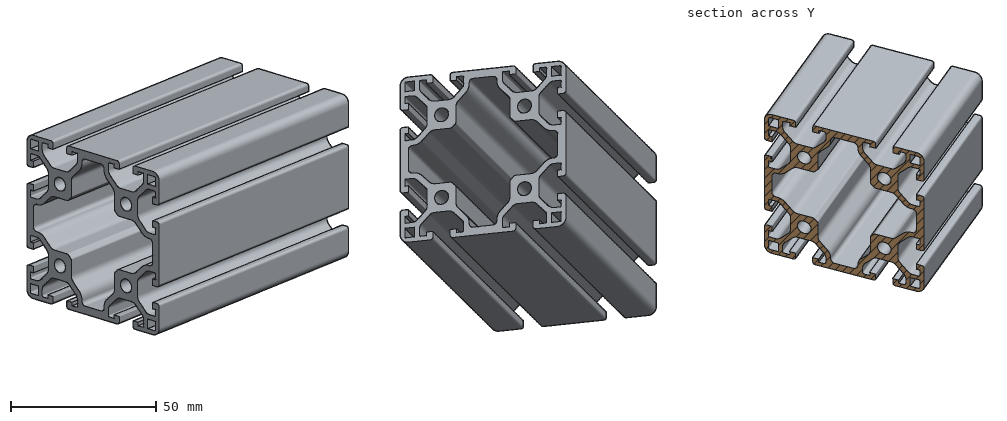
import cadquery as cq
import math

SIDE = 60.0
LENGTH = 100.0
HALF = SIDE / 2
CORNER_RADIUS = 3.0

CORE_OFFSET = SIDE / 4
CORE_HALF = 5.2
CORE_CHAMFER = 1.6
CORE_EDGE_RADIUS = 0.8
BORE_DIAMETER = 5.0

SLOT_HALF = 3.1
LIP_WIDTH = 2.4
LIP_DEPTH = 3.0
LIP_RADIUS = 1.0
LIP_INNER_RADIUS = 0.2
SKIN = 1.7
CHAMBER_HALF = 8.0
CHAMBER_RADIUS = 0.5
SLOT_FLOOR_RADIUS = 2.5
SLOT_DEPTH = HALF - CORE_OFFSET - CORE_HALF

WEB_THICKNESS = 2.3
WEB_SHIFT = WEB_THICKNESS / math.sqrt(2)
SLOT_WEB_RADIUS = 2.5
CAVITY_WEB_RADIUS = 4.5
CAVITY_ROOT_RADIUS = 3.0

CAVITY_SKIN = 3.0
CAVITY_HALF = 5.0
CAVITY_RADIUS = 1.5

HOLLOW_END = 5.2
HOLLOW_RADIUS = 0.5

AXIS = (0, 1, 0)
QUARTER_TURN = 90
QUARTER_TURNS = [n * QUARTER_TURN for n in range(4)]


def section():
    """Sketch plane on the -Y end face, X right and Z up."""
    return cq.Workplane("XZ", origin=(0, -LENGTH / 2, 0))


def extrude_outline(points):
    return section().polyline(points).close().extrude(-LENGTH)


def round_edges(solid, points, radius):
    """Fillet the lengthwise edges that pass through the given section points."""
    lengthwise = solid.edges("|Y")
    nearest = [cq.selectors.NearestToPointSelector((x, 0, z)) for x, z in points]
    edges = [lengthwise.edges(selector).val() for selector in nearest]
    return solid.newObject(edges).fillet(radius)


def mirrored(a, b):
    """The eight section points that share the coordinates a and b in either order and sign."""
    signs = [(sx, sz) for sx in (-1, 1) for sz in (-1, 1)]
    return [(sx * x, sz * z) for sx, sz in signs for x, z in ((a, b), (b, a))]


def beside_slot(x, z):
    """The matching pair of points left and right of a slot centerline."""
    return [(-x, z), (x, z)]


def turned(solid, angle):
    return solid.rotate((0, 0, 0), AXIS, angle)


def make_slot(center_x):
    """Cutter for one T-slot that opens upward at center_x."""
    chamber_top = HALF - SKIN
    floor = HALF - SLOT_DEPTH
    floor_half = CORE_HALF - WEB_SHIFT
    knee = CORE_OFFSET + CHAMBER_HALF + WEB_SHIFT
    right = [
        (SLOT_HALF, HALF),
        (SLOT_HALF, HALF - LIP_DEPTH),
        (SLOT_HALF + LIP_WIDTH, HALF - LIP_DEPTH),
        (SLOT_HALF + LIP_WIDTH, chamber_top),
        (CHAMBER_HALF, chamber_top),
        (CHAMBER_HALF, knee),
        (floor_half, floor),
    ]
    left = [(-x, z) for x, z in reversed(right)]
    slot = extrude_outline(right + left)
    slot = round_edges(slot, beside_slot(SLOT_HALF, HALF - LIP_DEPTH), LIP_INNER_RADIUS)
    slot = round_edges(slot, beside_slot(CHAMBER_HALF, chamber_top), CHAMBER_RADIUS)
    slot = round_edges(slot, beside_slot(CHAMBER_HALF, knee), SLOT_WEB_RADIUS)
    slot = round_edges(slot, beside_slot(floor_half, floor), SLOT_FLOOR_RADIUS)
    return slot.translate((center_x, 0, 0))


def make_cavity():
    """Central opening: a lobe toward every side, notched by the four cores."""
    top = HALF - CAVITY_SKIN
    knee = 2 * CORE_OFFSET - CAVITY_HALF - WEB_SHIFT
    core_face = CORE_OFFSET - CORE_HALF
    web_end = CORE_OFFSET + CORE_HALF - WEB_SHIFT
    lobe = [
        (core_face, core_face + CORE_CHAMFER),
        (core_face, web_end),
        (CAVITY_HALF, knee),
        (CAVITY_HALF, top),
    ]
    lobe += [(-x, z) for x, z in reversed(lobe)]
    outline = []
    for _ in QUARTER_TURNS:
        outline += lobe
        lobe = [(-z, x) for x, z in lobe]
    cavity = extrude_outline(outline)
    chamfer_end = core_face + CORE_CHAMFER
    cavity = round_edges(cavity, mirrored(CAVITY_HALF, top), CAVITY_RADIUS)
    cavity = round_edges(cavity, mirrored(CAVITY_HALF, knee), CAVITY_WEB_RADIUS)
    cavity = round_edges(cavity, mirrored(core_face, web_end), CAVITY_ROOT_RADIUS)
    cavity = round_edges(cavity, mirrored(core_face, chamfer_end), CORE_EDGE_RADIUS)
    return cavity


def make_hollow():
    """Square hollow in the top right corner, rounded at its outermost edge."""
    size = HOLLOW_END - SKIN
    center = HALF - SKIN - size / 2
    hollow = section().center(center, center).rect(size, size).extrude(-LENGTH)
    return round_edges(hollow, [(HALF - SKIN, HALF - SKIN)], HOLLOW_RADIUS)


def lip_edges():
    """Section points of the slot mouths on the top side."""
    return [(c + s * SLOT_HALF, HALF) for c in (-CORE_OFFSET, CORE_OFFSET) for s in (-1, 1)]


profile = section().rect(SIDE, SIDE).extrude(-LENGTH)
profile = profile.edges("|Y").fillet(CORNER_RADIUS)
profile = profile.cut(make_cavity())

slot_pair = [make_slot(-CORE_OFFSET), make_slot(CORE_OFFSET)]
hollow = make_hollow()
for angle in QUARTER_TURNS:
    for slot in slot_pair:
        profile = profile.cut(turned(slot, angle))
    profile = profile.cut(turned(hollow, angle))

for angle in QUARTER_TURNS:
    profile = round_edges(profile, lip_edges(), LIP_RADIUS)
    profile = turned(profile, QUARTER_TURN)

bores = section().rect(2 * CORE_OFFSET, 2 * CORE_OFFSET, forConstruction=True).vertices()
profile = profile.cut(bores.circle(BORE_DIAMETER / 2).extrude(-LENGTH))

result = profile